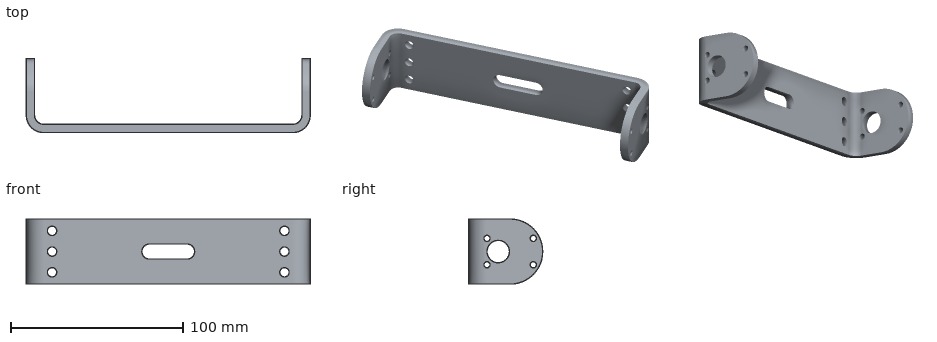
import cadquery as cq

length = 165.0
depth = 43.0
height = 38.0
thickness = 5.0
outer_bend_radius = 10.0
inner_bend_radius = outer_bend_radius - thickness

end_radius = height / 2
end_center_y = depth - end_radius

mount_hole_diameter = 5.3
mount_hole_inset = 15.0
mount_hole_pitch = 12.0
slot_length = 30.5
slot_width = 8.5

shaft_hole_diameter = 12.9
shaft_hole_y = 17.2
screw_hole_diameter = 3.5
screw_spacing_y = 26.9
screw_spacing_z = 15.3


def bent_strip():
    """Strip folded twice into a U, centred on X and Z, web face at Y = 0."""
    outer = (
        cq.Workplane("XY")
        .box(length, depth, height, centered=(True, False, True))
        .edges("|Z and <Y")
        .fillet(outer_bend_radius)
    )
    inner = (
        cq.Workplane("XY")
        .box(length - 2 * thickness, depth, height, centered=(True, False, True))
        .edges("|Z and <Y")
        .fillet(inner_bend_radius)
        .translate((0, thickness, 0))
    )
    return outer.cut(inner)


def side_envelope():
    """Side outline with the rounded flange end, extruded over the full length."""
    return (
        cq.Workplane("YZ")
        .moveTo(0, -height / 2)
        .lineTo(end_center_y, -height / 2)
        .threePointArc((depth, 0), (end_center_y, height / 2))
        .lineTo(0, height / 2)
        .close()
        .extrude(length / 2, both=True)
    )


def web_openings():
    """Three mounting holes near each end of the web and a central slot."""
    hole_x = length / 2 - mount_hole_inset
    holes = (
        cq.Workplane("XZ")
        .rarray(2 * hole_x, mount_hole_pitch, 2, 3)
        .circle(mount_hole_diameter / 2)
        .extrude(-depth)
    )
    slot = cq.Workplane("XZ").slot2D(slot_length, slot_width).extrude(-depth)
    return holes.union(slot)


def flange_openings():
    """Shaft hole and four screw holes, passing through both flanges."""
    shaft = (
        cq.Workplane("YZ")
        .center(shaft_hole_y, 0)
        .circle(shaft_hole_diameter / 2)
        .extrude(length / 2, both=True)
    )
    screws = (
        cq.Workplane("YZ")
        .center(end_center_y, 0)
        .rarray(screw_spacing_y, screw_spacing_z, 2, 2)
        .circle(screw_hole_diameter / 2)
        .extrude(length / 2, both=True)
    )
    return shaft.union(screws)


result = bent_strip().intersect(side_envelope()).cut(web_openings()).cut(flange_openings())